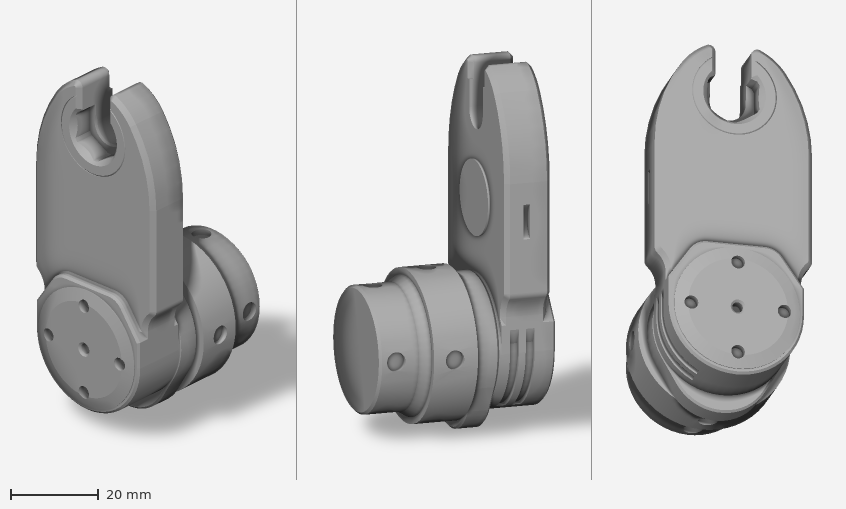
import cadquery as cq
import math


CAP_RIM_Y = 0.85
BOSS_FRONT_Y = 1.05
ARM_FRONT_Y = 3.1
ARM_BACK_Y = 14.3
FLANGE_FRONT_Y = 14.85
FLANGE_BACK_Y = 20.85
BARREL_BACK_Y = 31.6
NECK_FRONT_Y = 34.1
KNOB_BACK_Y = 43.7

HUB_R = 16.0
CAP_FLAT_R = 11.8
CAP_RIM_R = 14.85
RIM_CHAMFER = 0.55
BARREL_R = 18.0
CONE_R = 16.4
KNOB_R = 14.9
KNOB_CHAMFER = 0.6
GRIP_HOLE_D = 4.5
GRIP_HOLE_DEPTH = 1.5
GRIP_HOLES = ((26.45, BARREL_R), (39.65, KNOB_R))

PIN_HOLE_D = 3.2
PIN_HOLE_DEPTH = 2.0
PIN_CIRCLE_R = 11.0
CENTRE_HOLE_D = 2.5
CENTRE_SINK_D = 3.5
CENTRE_HOLE_DEPTH = 3.0

FLANGE_R = 16.1
LOBE_BOTTOM_Z = -20.15
LOBE_R = 12.0
FLANGE_CHAMFER = 0.5

BOSS_TOP_HALF = 9.4
BOSS_SHOULDER_Z = 6.6
BOSS_CORNER_R = 5.0
BOSS_FOOT_BEVEL = 0.35

ARM_HALF_WIDTH = 18.6
ARM_EDGE_CHAMFER = 1.1
SIDE_TOP_Z = 40.2
SIDE_ARC_R = 35.0
TIP_ARC_R = 15.0
ARM_TOP_Z = 65.36
TIP_FILLET_R = 1.5
TIP_BEVEL_END_Z = 60.0
SCOOP_R = 6.0
SCOOP_END_Z = 8.55
SCOOP_CORNER_R = 2.0

JAW_Z = 53.5
SLOT_HALF = 4.25
INSERT_R = 10.0
INSERT_BACK_Y = 12.1
INSERT_EDGE_CHAMFER = 0.3
HEX_ACROSS_FLATS = 12.2
HEX_CORNER_R = 6.75
HEX_BACK_Y = 8.75
HEX_LEAD_IN_R = 7.4
HEX_LEAD_IN_DEPTH = 1.5
SEAT_CHAMFER = 0.45

WINDOW_Y = 9.15
WINDOW_WIDTH = 1.65
WINDOW_Z = 31.05
WINDOW_LENGTH = 8.1
WINDOW_ARC_R = 5.0
GROOVE_CENTRES_Y = (7.3, 11.15)
GROOVE_WIDTH = 2.15
GROOVE_DEPTH = 1.0
GROOVE_TOP_Z = 5.4
GROOVE_RAMP_END_Z = 2.0
GROOVE_BOTTOM_Z = -14.1

PAD_R = 8.9
PAD_Z = 33.3

MARGIN = 5.0
SLACK = 0.1


def plane_at(y):
    """Sketch plane at station y: local x is X, local y is Z, extrusion goes towards +Y."""
    return cq.Workplane(cq.Plane(origin=(0, y, 0), xDir=(1, 0, 0), normal=(0, -1, 0)))


def prism(sketch, y_length):
    """Extrude a sketch made on plane_at towards +Y."""
    return sketch.extrude(-y_length)


def disc(radius, y_front, y_back, z=0.0, x=0.0):
    return prism(plane_at(y_front).center(x, z).circle(radius), y_back - y_front)


def cone(r_front, r_back, y_front, y_back, z=0.0):
    solid = cq.Solid.makeCone(r_front, r_back, y_back - y_front, cq.Vector(0, y_front, z), cq.Vector(0, 1, 0))
    return cq.Workplane(obj=solid)


def arm_outline():
    """Closed outline of the arm, symmetric about X = 0, without the slot."""
    side_centre_x = ARM_HALF_WIDTH - SIDE_ARC_R
    reach = SIDE_ARC_R - TIP_ARC_R
    turn = math.acos(-side_centre_x / reach)
    tip_centre_z = SIDE_TOP_Z + reach * math.sin(turn)
    side_mid = (side_centre_x + SIDE_ARC_R * math.cos(turn / 2), SIDE_TOP_Z + SIDE_ARC_R * math.sin(turn / 2))
    side_end = (TIP_ARC_R * math.cos(turn), tip_centre_z + TIP_ARC_R * math.sin(turn))

    scoop_x = HUB_R + SCOOP_R
    corner_x = ARM_HALF_WIDTH - SCOOP_CORNER_R
    run = scoop_x - corner_x
    rise = math.sqrt((SCOOP_R + SCOOP_CORNER_R) ** 2 - run**2)
    corner_z = SCOOP_END_Z + rise
    swing = math.atan2(rise, run)
    join = (scoop_x - SCOOP_R * math.cos(swing), SCOOP_END_Z + SCOOP_R * math.sin(swing))
    scoop_mid = (scoop_x - SCOOP_R * math.cos(swing / 2), SCOOP_END_Z + SCOOP_R * math.sin(swing / 2))
    corner_mid = (
        corner_x + SCOOP_CORNER_R * math.cos(swing / 2),
        corner_z - SCOOP_CORNER_R * math.sin(swing / 2),
    )

    def left(point):
        return (-point[0], point[1])

    return (
        plane_at(ARM_FRONT_Y)
        .moveTo(-HUB_R, 0)
        .lineTo(HUB_R, 0)
        .lineTo(HUB_R, SCOOP_END_Z)
        .threePointArc(scoop_mid, join)
        .threePointArc(corner_mid, (ARM_HALF_WIDTH, corner_z))
        .lineTo(ARM_HALF_WIDTH, SIDE_TOP_Z)
        .threePointArc(side_mid, side_end)
        .threePointArc((0, tip_centre_z + TIP_ARC_R), left(side_end))
        .threePointArc(left(side_mid), (-ARM_HALF_WIDTH, SIDE_TOP_Z))
        .lineTo(-ARM_HALF_WIDTH, corner_z)
        .threePointArc(left(corner_mid), left(join))
        .threePointArc(left(scoop_mid), (-HUB_R, SCOOP_END_Z))
        .close()
    )


def slot_straight(z_bottom):
    """Parallel-sided part of the slot, open at the top and running through the whole arm."""
    height = ARM_TOP_Z + MARGIN - z_bottom
    sketch = plane_at(ARM_FRONT_Y).center(0, z_bottom + height / 2).rect(2 * SLOT_HALF, height)
    return prism(sketch, ARM_BACK_Y - ARM_FRONT_Y)


def slot_cutter():
    """Whole slot, with its round bottom at the jaw centre."""
    return slot_straight(JAW_Z).union(disc(SLOT_HALF, ARM_FRONT_Y, ARM_BACK_Y, JAW_Z))


def slot_front_bevel():
    """Bevel along the two straight front edges of the slot."""
    wide = SLOT_HALF + ARM_EDGE_CHAMFER
    return (
        cq.Workplane("XY", origin=(0, 0, JAW_Z))
        .polyline(
            [
                (-wide, ARM_FRONT_Y),
                (wide, ARM_FRONT_Y),
                (SLOT_HALF, ARM_FRONT_Y + ARM_EDGE_CHAMFER),
                (-SLOT_HALF, ARM_FRONT_Y + ARM_EDGE_CHAMFER),
            ]
        )
        .close()
        .extrude(ARM_TOP_Z + MARGIN - JAW_Z)
    )


def make_arm():
    """Arm with rounded tips; both faces are bevelled along the outline and the upper slot edges."""
    arm = prism(arm_outline(), ARM_BACK_Y - ARM_FRONT_Y)
    arm = arm.cut(slot_straight(TIP_BEVEL_END_Z))
    slot_corners = cq.selectors.BoxSelector(
        (-SLOT_HALF - SLACK, ARM_FRONT_Y, JAW_Z + INSERT_R),
        (SLOT_HALF + SLACK, ARM_BACK_Y, ARM_TOP_Z + MARGIN),
    )
    arm = arm.edges("|Y").edges(slot_corners).fillet(TIP_FILLET_R)
    rims = arm.faces("<Y or >Y").edges("not(|X)")
    return rims.chamfer(ARM_EDGE_CHAMFER).cut(slot_cutter())


def boss_block(y_front, y_back, growth, bevel):
    """Prism of the boss outline grown outwards, flat above and round below, with a bevelled front edge."""
    outline = (
        plane_at(y_front)
        .moveTo(-HUB_R, 0)
        .threePointArc((0, -HUB_R), (HUB_R, 0))
        .lineTo(HUB_R, BOSS_SHOULDER_Z)
        .lineTo(BOSS_TOP_HALF, HUB_R)
        .lineTo(-BOSS_TOP_HALF, HUB_R)
        .lineTo(-HUB_R, BOSS_SHOULDER_Z)
        .close()
    )
    if growth > 0:
        outline = outline.offset2D(growth, "intersection")
    block = prism(outline, y_back - y_front)
    block = block.edges("|Y").edges(">Z").fillet(BOSS_CORNER_R + growth)
    return block.faces("<Y").chamfer(bevel)


def make_boss():
    return boss_block(BOSS_FRONT_Y, ARM_BACK_Y, 0, RIM_CHAMFER)


def make_boss_foot():
    """Small sloping foot where the upper side of the boss meets the front of the arm."""
    foot_front = ARM_FRONT_Y - BOSS_FOOT_BEVEL
    foot_back = ARM_FRONT_Y + ARM_EDGE_CHAMFER
    foot = boss_block(foot_front, foot_back, BOSS_FOOT_BEVEL, BOSS_FOOT_BEVEL)
    upper = cq.Workplane("XY", origin=(0, 0, SCOOP_END_Z)).rect(2 * HUB_R, 2 * KNOB_BACK_Y).extrude(HUB_R)
    return foot.intersect(upper)


def make_flange():
    """Round flange blending into a smaller lobe below through straight tangent flanks."""
    lobe_z = LOBE_BOTTOM_Z + LOBE_R
    drop = (FLANGE_R - LOBE_R) / lobe_z
    side = math.sqrt(1 - drop**2)
    rim_tangent = (FLANGE_R * side, FLANGE_R * drop)
    lobe_tangent = (LOBE_R * side, lobe_z + LOBE_R * drop)
    sketch = (
        plane_at(FLANGE_FRONT_Y)
        .moveTo(*rim_tangent)
        .threePointArc((0, FLANGE_R), (-rim_tangent[0], rim_tangent[1]))
        .lineTo(-lobe_tangent[0], lobe_tangent[1])
        .threePointArc((0, LOBE_BOTTOM_Z), lobe_tangent)
        .close()
    )
    return prism(sketch, FLANGE_BACK_Y - FLANGE_FRONT_Y).faces("<Y or >Y").chamfer(FLANGE_CHAMFER)


def make_knob():
    profile = [
        (0, FLANGE_BACK_Y),
        (BARREL_R, FLANGE_BACK_Y),
        (BARREL_R, BARREL_BACK_Y),
        (CONE_R, BARREL_BACK_Y),
        (KNOB_R, NECK_FRONT_Y),
        (KNOB_R, KNOB_BACK_Y - KNOB_CHAMFER),
        (KNOB_R - KNOB_CHAMFER, KNOB_BACK_Y),
        (0, KNOB_BACK_Y),
    ]
    knob = cq.Workplane("XY").polyline(profile).close().revolve(360, (0, 0, 0), (0, 1, 0))
    for y, radius in GRIP_HOLES:
        hole = (
            cq.Workplane("XY", origin=(0, y, radius - GRIP_HOLE_DEPTH))
            .circle(GRIP_HOLE_D / 2)
            .extrude(MARGIN)
        )
        for quarter in range(4):
            knob = knob.cut(hole.rotate((0, 0, 0), (0, 1, 0), 90 * quarter))
    return knob


def cap_holes():
    sink = (CENTRE_SINK_D - CENTRE_HOLE_D) / 2
    holes = disc(CENTRE_HOLE_D / 2, 0, CENTRE_HOLE_DEPTH)
    holes = holes.union(cone(CENTRE_SINK_D / 2, CENTRE_HOLE_D / 2, 0, sink))
    for quarter in range(4):
        angle = math.radians(90 * quarter)
        x = PIN_CIRCLE_R * math.cos(angle)
        z = PIN_CIRCLE_R * math.sin(angle)
        holes = holes.union(disc(PIN_HOLE_D / 2, 0, PIN_HOLE_DEPTH, z, x))
    return holes


def side_window():
    """Shallow cut with an arc floor in the -X side of the arm."""
    depth_of_centre = math.sqrt(WINDOW_ARC_R**2 - (WINDOW_LENGTH / 2) ** 2)
    return disc(
        WINDOW_ARC_R,
        WINDOW_Y - WINDOW_WIDTH / 2,
        WINDOW_Y + WINDOW_WIDTH / 2,
        WINDOW_Z,
        -ARM_HALF_WIDTH - depth_of_centre,
    )


def side_groove(y):
    """Groove round the lower -X side of the hub, with a ramp at its upper end."""
    floor_r = HUB_R - GROOVE_DEPTH
    floor_middle_z = (GROOVE_RAMP_END_Z + GROOVE_BOTTOM_Z) / 2
    outer = HUB_R + MARGIN

    def floor_point(z):
        return (-math.sqrt(floor_r**2 - z**2), z)

    sketch = (
        plane_at(y - GROOVE_WIDTH / 2)
        .moveTo(-HUB_R, GROOVE_TOP_Z)
        .lineTo(*floor_point(GROOVE_RAMP_END_Z))
        .threePointArc(floor_point(floor_middle_z), floor_point(GROOVE_BOTTOM_Z))
        .lineTo(-outer, GROOVE_BOTTOM_Z)
        .lineTo(-outer, GROOVE_TOP_Z)
        .close()
    )
    return prism(sketch, GROOVE_WIDTH)


def make_tool_body():
    body = make_arm().union(make_boss()).union(make_boss_foot())
    body = body.union(disc(HUB_R, ARM_BACK_Y, FLANGE_FRONT_Y))
    body = body.union(disc(PAD_R, ARM_BACK_Y, FLANGE_FRONT_Y, PAD_Z))
    body = body.union(disc(CAP_RIM_R, CAP_RIM_Y, ARM_FRONT_Y))
    body = body.union(cone(CAP_FLAT_R, CAP_RIM_R, 0, CAP_RIM_Y))
    body = body.union(make_flange()).union(make_knob())
    body = body.cut(cap_holes()).cut(side_window())
    for y in GROOVE_CENTRES_Y:
        body = body.cut(side_groove(y))
    return body.cut(disc(INSERT_R, ARM_FRONT_Y, INSERT_BACK_Y, JAW_Z))


def make_jaw_insert():
    """Slotted ring with a hexagon socket that fills the round seat in the arm."""
    insert = disc(INSERT_R, ARM_FRONT_Y, INSERT_BACK_Y, JAW_Z).faces("<Y").chamfer(INSERT_EDGE_CHAMFER)
    corner_to_corner = HEX_ACROSS_FLATS / math.cos(math.pi / 6)
    hexagon = prism(
        plane_at(ARM_FRONT_Y).center(0, JAW_Z).transformed(rotate=(0, 0, 30)).polygon(6, corner_to_corner),
        HEX_BACK_Y - ARM_FRONT_Y,
    )
    hexagon = hexagon.intersect(disc(HEX_CORNER_R, ARM_FRONT_Y, HEX_BACK_Y, JAW_Z))
    lead_in_end = ARM_FRONT_Y + HEX_LEAD_IN_DEPTH
    lead_in = cone(HEX_LEAD_IN_R, HEX_ACROSS_FLATS / 2, ARM_FRONT_Y, lead_in_end, JAW_Z)
    seat_bevel = cone(SLOT_HALF + SEAT_CHAMFER, SLOT_HALF, HEX_BACK_Y, HEX_BACK_Y + SEAT_CHAMFER, JAW_Z)
    for cutter in (slot_cutter(), slot_front_bevel(), hexagon, lead_in, seat_bevel):
        insert = insert.cut(cutter)
    return insert


tool_body = make_tool_body()
jaw_insert = make_jaw_insert()
result = cq.Compound.makeCompound([tool_body.val(), jaw_insert.val()])